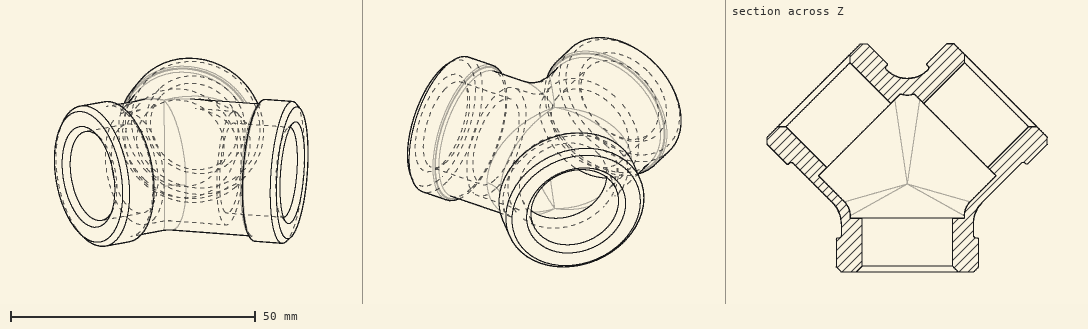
import cadquery as cq
import math

overall_width = 57.3
straight_length = 18.0
straight_angle = -90.0
branch_angle = 45.0

body_radius = 13.5
collar_radius = 14.55
collar_length = 7.0
rim_chamfer = 1.05
collar_edge_round = 0.3
collar_root_fillet = 0.5
junction_fillet = 5.85

bore_radius = 9.2
straight_bore_length = 11.0
branch_bore_length = 13.0
mouth_chamfer = 1.2
chamber_radius = 11.6
chamber_rounding = 4.0

branch_length = overall_width / 2 / math.cos(math.radians(branch_angle)) - (collar_radius - rim_chamfer)

ARMS = [
    (straight_angle, straight_length, straight_bore_length),
    (branch_angle, branch_length, branch_bore_length),
    (180.0 - branch_angle, branch_length, branch_bore_length),
]


def along(angle, shape):
    """Turn a shape that lies along +X into the given direction."""
    return shape.rotate((0, 0, 0), (0, 0, 1), angle)


def rounded_junction(shapes, fillet):
    """Join one shape per arm and round the elliptical edges where they meet."""
    junction = cq.Workplane("XY")
    for (angle, _, _), shape in zip(ARMS, shapes):
        junction = junction.union(along(angle, shape))
    return junction.edges("%ELLIPSE").fillet(fillet)


def solid_arm(length):
    """Arm ending in a collar with a chamfered rim, a rounded inner edge and a fillet at its root."""
    back = length - collar_length
    diagonal = math.sqrt(0.5)
    edge_inset = collar_edge_round * (1 - diagonal)
    root_inset = collar_root_fillet * (1 - diagonal)
    profile = (
        cq.Workplane("XY")
        .lineTo(0, body_radius)
        .lineTo(back - collar_root_fillet, body_radius)
        .threePointArc(
            (back - root_inset, body_radius + root_inset),
            (back, body_radius + collar_root_fillet),
        )
        .lineTo(back, collar_radius - collar_edge_round)
        .threePointArc(
            (back + edge_inset, collar_radius - edge_inset),
            (back + collar_edge_round, collar_radius),
        )
        .lineTo(length - rim_chamfer, collar_radius)
        .lineTo(length, collar_radius - rim_chamfer)
        .lineTo(length, 0)
        .close()
    )
    return profile.revolve(360, (0, 0, 0), (1, 0, 0))


def bore(length):
    """Hole from the centre out to the end of an arm, widened by a chamfer at the mouth."""
    profile = (
        cq.Workplane("XY")
        .lineTo(0, bore_radius)
        .lineTo(length - mouth_chamfer, bore_radius)
        .lineTo(length, bore_radius + mouth_chamfer)
        .lineTo(length, 0)
        .close()
    )
    return profile.revolve(360, (0, 0, 0), (1, 0, 0))


def chamber():
    """Central cavity, ended in every arm by the flat step where the bore begins."""
    tubes = [cq.Workplane("YZ").circle(chamber_radius).extrude(length) for _, length, _ in ARMS]
    cavity = rounded_junction(tubes, chamber_rounding)
    for angle, length, bore_length in ARMS:
        beyond_step = (
            cq.Workplane("YZ", origin=(length - bore_length, 0, 0))
            .rect(2 * body_radius, 2 * body_radius)
            .extrude(bore_length)
        )
        cavity = cavity.cut(along(angle, beyond_step))
    return cavity


result = rounded_junction([solid_arm(length) for _, length, _ in ARMS], junction_fillet)
result = result.cut(chamber())
for angle, length, _ in ARMS:
    result = result.cut(along(angle, bore(length)))